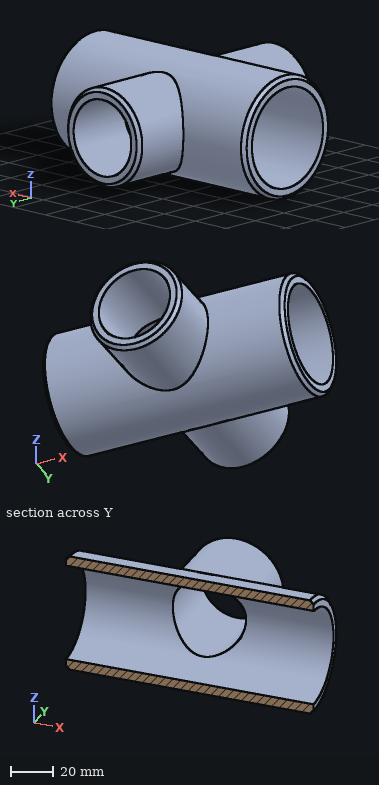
import cadquery as cq

run_length = 127.0
run_diameter = 60.3
run_bore = 49.3
branch_span = 120.9
branch_diameter = 48.3
branch_bore = 37.5
end_chamfer = 1.9


def centred_cylinder(plane, diameter, length):
    """Cylinder along the plane normal, centred on the origin."""
    return cq.Workplane(plane).circle(diameter / 2).extrude(length / 2, both=True)


def chamfered_bar(plane, axis, diameter, length):
    """Solid bar with its outer rim chamfered at both ends."""
    bar = centred_cylinder(plane, diameter, length)
    return bar.faces(f"<{axis} or >{axis}").edges().chamfer(end_chamfer)


run = chamfered_bar("YZ", "X", run_diameter, run_length)
branches = chamfered_bar("XZ", "Y", branch_diameter, branch_span)
body = run.union(branches)

body = body.cut(centred_cylinder("YZ", run_bore, run_length))
result = body.cut(centred_cylinder("XZ", branch_bore, branch_span))